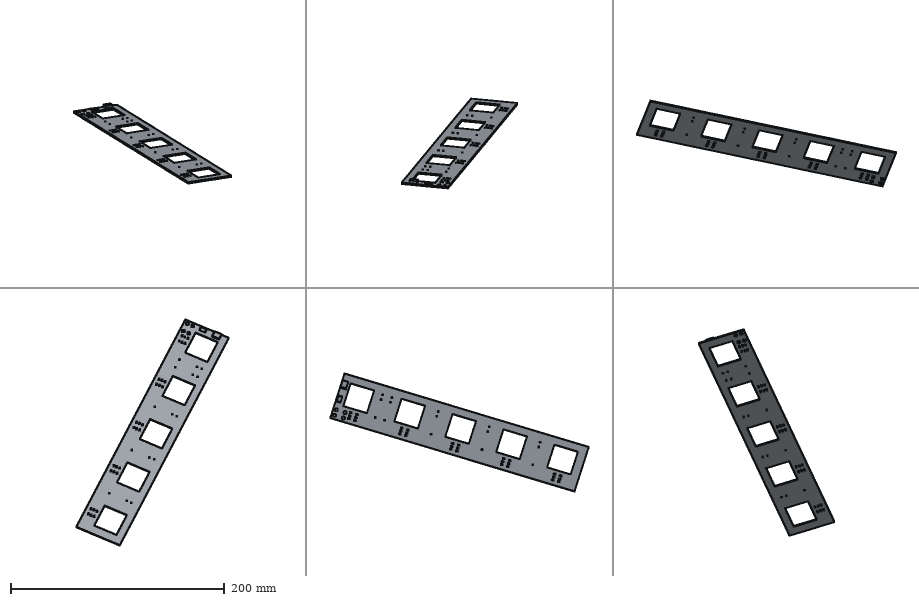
import cadquery as cq
import math

board_length = 240.0
board_width = 45.0
board_thickness = 1.6
total_height = 4.0

window_count = 5
first_window_x = 20.0
window_pitch = (board_length - 2 * first_window_x) / (window_count - 1)
window_size = 23.0
window_centre_y = 26.2
window_centres_x = [first_window_x + i * window_pitch for i in range(window_count)]

solder_column_spacing = 6.0
solder_rows_y = [10.5, 7.5, 4.5]
slot_length = 2.0
slot_width = 1.0

pin_hole_diameter = 1.0
first_gap_columns_x = [40.3, 49.5]
second_gap_column_x = 95.0
later_gap_columns_x = [second_gap_column_x + i * window_pitch for i in range(window_count - 2)]
pin_columns_x = first_gap_columns_x + later_gap_columns_x
pin_rows_y = [36.0, 31.2, 13.0]

mounting_hole_diameter = 3.0
mounting_columns_x = [3.0, 11.8]
mounting_rows_y = [9.0, 3.5]

package_length = 5.5
package_width = 7.5
package_x = 0.5
package_y = 30.5
package_waist = 0.85
package_draft_angle = 4.0
package_height = total_height - board_thickness
ledge_width = 0.7
ledge_depth = 0.12

chip_length = 3.5
chip_width = 6.5
chip_x = 1.2
chip_y = 16.5
chip_height = 0.5
terminal_width = 0.7
terminal_step = 0.12


def points_on_board(columns_x, rows_y):
    """Workplane on the underside of the board with a point at each crossing of the columns and rows."""
    return cq.Workplane("XY").pushPoints([(x, y) for x in columns_x for y in rows_y])


def make_board():
    solder_columns_x = [
        x + side * solder_column_spacing / 2 for x in window_centres_x for side in (-1, 1)
    ]
    windows = points_on_board(window_centres_x, [window_centre_y]).rect(window_size, window_size)
    solder_slots = points_on_board(solder_columns_x, solder_rows_y).slot2D(slot_length, slot_width)
    pin_holes = points_on_board(pin_columns_x, pin_rows_y).circle(pin_hole_diameter / 2)
    mounting_holes = points_on_board(mounting_columns_x, mounting_rows_y).circle(mounting_hole_diameter / 2)

    board = cq.Workplane("XY").box(board_length, board_width, board_thickness, centered=False)
    for openings in (windows, solder_slots, pin_holes, mounting_holes):
        board = board.cut(openings.extrude(board_thickness))
    return board


def tapered_half(height):
    """One half of the package: full size at the parting plane, smaller at its far end."""
    package_centre = (
        package_x + package_length / 2,
        package_y + package_width / 2,
        board_thickness + package_waist,
    )
    inset = abs(height) * math.tan(math.radians(package_draft_angle))
    far_length = package_length - 2 * inset
    far_width = package_width - 2 * inset
    return (
        cq.Workplane("XY", origin=package_centre)
        .rect(package_length, package_width)
        .workplane(offset=height)
        .rect(far_length, far_width)
        .loft(ruled=True)
    )


def make_package():
    upper_half = tapered_half(package_height - package_waist)
    lower_half = tapered_half(-package_waist)
    ledge = cq.Workplane("XY").box(package_length, ledge_width, ledge_depth, centered=False)
    ledge = ledge.translate((package_x, package_y, total_height - ledge_depth))
    return upper_half.union(lower_half).cut(ledge)


def make_chip():
    corner = (chip_x, chip_y, board_thickness)
    chip = cq.Workplane("XY").box(chip_length, chip_width, chip_height, centered=False)
    for y in (0, chip_width - terminal_width):
        terminal = cq.Workplane("XY").box(
            chip_length, terminal_width, chip_height + terminal_step, centered=False
        )
        chip = chip.union(terminal.translate((0, y, 0)))
    return chip.translate(corner)


board = make_board()
package = make_package()
chip = make_chip()

result = cq.Compound.makeCompound([board.val(), package.val(), chip.val()])